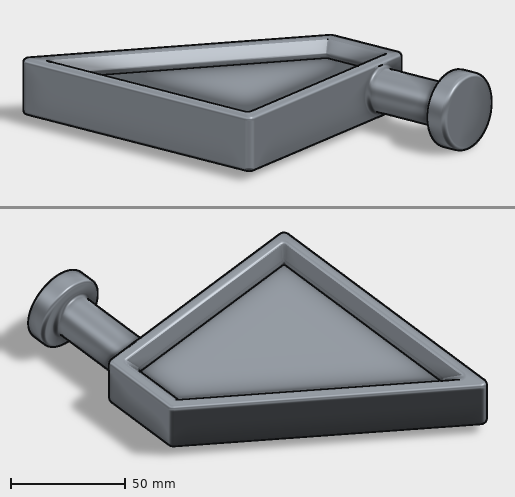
import cadquery as cq
import math


tray_depth = 110.0
tray_back_y = 16.7
tray_front_y = tray_back_y - tray_depth
tray_front_length = 130.7
tray_back_length = 40.0
tray_thickness = 26.0
corner_radius = 3.0
edge_radius = 2.1

slope_run = 5.0
slope_drop = 5.8
wall_height = 2.0
rim_inset = 5.1
floor_inset = rim_inset + slope_run
floor_corner_radius = 1.0
rim_corner_radius = 1.5
slope_rim_radius = 2.0
slope_foot_radius = 2.3

shaft_diameter = 19.7
shaft_length = 38.2
shaft_root_radius = 2.0
knob_diameter = 35.0
knob_thickness = 10.5
knob_inner_radius = 1.8
knob_outer_radius = 2.1

selection_margin = 0.2

tray_top_z = tray_thickness / 2
slope_foot_z = tray_top_z - slope_drop
pocket_floor_z = slope_foot_z - wall_height


def inset_outline(inset):
    """Corners of the tray outline with every side moved inward by the inset."""
    slant_run = (tray_front_length - tray_back_length) / tray_depth
    slant_shift = inset * math.hypot(1, slant_run)
    right_x = -inset
    front_y = tray_front_y + inset
    back_y = tray_back_y - inset

    def slant_x(y):
        return -tray_front_length + slant_shift + (y - tray_front_y) * slant_run

    return [
        (right_x, front_y),
        (right_x, back_y),
        (slant_x(back_y), back_y),
        (slant_x(front_y), front_y),
    ]


def make_tray_block():
    block = cq.Workplane("XY").workplane(offset=-tray_top_z)
    block = block.polyline(inset_outline(0)).close().extrude(tray_thickness)
    return block.edges("|Z").fillet(corner_radius)


def rounded_outline(inset, radius):
    """Inset tray outline with rounded corners."""
    corners = inset_outline(inset)
    return cq.Sketch().polygon(corners + corners[:1]).vertices().fillet(radius)


def make_pocket():
    floor_outline = rounded_outline(floor_inset, floor_corner_radius)
    rim_outline = rounded_outline(rim_inset, rim_corner_radius)
    well = cq.Workplane("XY", origin=(0, 0, pocket_floor_z)).placeSketch(floor_outline).extrude(wall_height)
    slope = (
        cq.Workplane("XY", origin=(0, 0, slope_foot_z))
        .placeSketch(floor_outline, rim_outline.moved(cq.Location(cq.Vector(0, 0, slope_drop))))
        .loft(ruled=True)
    )
    return well.union(slope)


def make_shaft_and_knob():
    shaft = cq.Workplane("YZ").circle(shaft_diameter / 2).extrude(shaft_length)
    knob = cq.Workplane("YZ").workplane(offset=shaft_length)
    knob = knob.circle(knob_diameter / 2).extrude(knob_thickness)
    knob = knob.faces("<X").edges().fillet(knob_inner_radius)
    knob = knob.faces(">X").edges().fillet(knob_outer_radius)
    return shaft.union(knob)


def edges_within(low_corner, high_corner):
    """Selector for edges that lie wholly inside a thin box around a face."""
    low = tuple(value - selection_margin for value in low_corner)
    high = tuple(value + selection_margin for value in high_corner)
    return cq.selectors.BoxSelector(low, high, boundingbox=True)


def blend_shaft_ends(body):
    """Fillet the shaft into the tray's face and into the knob."""
    reach = shaft_diameter / 2
    for end_x in (0, shaft_length):
        end_circle = edges_within((end_x, -reach, -reach), (end_x, reach, reach))
        body = body.edges(end_circle).fillet(shaft_root_radius)
    return body


def round_tray_edges(body):
    """Round the outer edges of the tray's top and bottom faces."""
    for face_z in (-tray_top_z, tray_top_z):
        face_edges = edges_within((-tray_front_length, tray_front_y, face_z), (0, tray_back_y, face_z))
        body = body.edges(face_edges).fillet(edge_radius)
    return body


def round_pocket_slope(body):
    """Round the rim of the pocket and the foot of its slope."""
    for edge_z, inset, radius in (
        (tray_top_z, rim_inset, slope_rim_radius),
        (slope_foot_z, floor_inset, slope_foot_radius),
    ):
        slope_edges = edges_within(
            (-tray_front_length + inset, tray_front_y + inset, edge_z),
            (-inset, tray_back_y - inset, edge_z),
        )
        body = body.edges(slope_edges).fillet(radius)
    return body


tray_with_knob = make_tray_block().union(make_shaft_and_knob())
tray_with_knob = round_tray_edges(blend_shaft_ends(tray_with_knob))
result = round_pocket_slope(tray_with_knob.cut(make_pocket()))